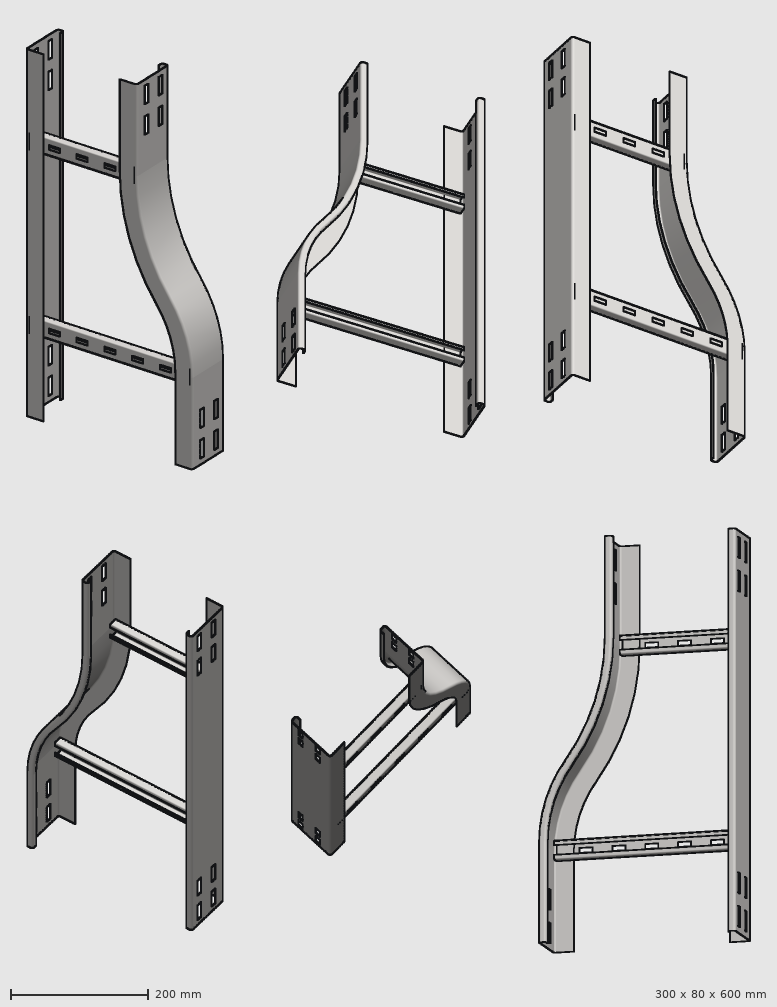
import cadquery as cq
import math

LENGTH = 600.0
RAIL_DEPTH = 80.0
WIDE_WIDTH = 300.0
NARROW_WIDTH = WIDE_WIDTH * 2 / 3

SHEET = 1.5
BEND_RADIUS = 4.0
INNER_BEND_RADIUS = BEND_RADIUS - SHEET
FLANGE_WIDTH = 31.0
RETURN_WIDTH = 12.0
LIP_DEPTH = 9.0

STRAIGHT_LENGTH = LENGTH / 4
BEND_LENGTH = LENGTH - 2 * STRAIGHT_LENGTH
LOWER_ARC_SHARE = 0.4

RAIL_SLOT_WIDTH = 9.0
RAIL_SLOT_LENGTH = 30.0
RAIL_SLOT_ROWS = 2
RAIL_SLOT_FIRST = LENGTH / 24
RAIL_SLOT_PITCH = LENGTH / 12
RAIL_SLOT_DEPTHS = (25.0, 60.0)

RUNG_HEIGHT = 29.0
RUNG_DEPTH = 15.0
RUNG_SHEET = 1.5
RUNG_LIP = 7.0
RUNG_BEND_RADIUS = 2.1
RUNG_END_GAP = 5.5
RUNG_SLOT_LENGTH = 20.0
RUNG_SLOT_HEIGHT = 7.0
RUNG_SLOT_PITCH = WIDE_WIDTH / 6


def rounded_outline(plane, corners):
    """Closed wire of square corners, each given as (x, y, corner radius)."""
    mid_share = 1 - math.sqrt(0.5)
    outline = cq.Workplane(plane)
    for index, (x, y, radius) in enumerate(corners):
        corner = cq.Vector(x, y)
        before = cq.Vector(*corners[index - 1][:2])
        after = cq.Vector(*corners[(index + 1) % len(corners)][:2])
        to_before = (before - corner).normalized() * radius
        to_after = (after - corner).normalized() * radius
        start = (corner + to_before).toTuple()[:2]
        if index == 0:
            outline = outline.moveTo(*start)
        else:
            outline = outline.lineTo(*start)
        if radius > 0:
            middle = corner + (to_before + to_after) * mid_share
            outline = outline.threePointArc(middle.toTuple()[:2], (corner + to_after).toTuple()[:2])
    return outline.close()


def rail_section(web_x, inward):
    """Rail section with its web's outer face at web_x; inward is +1 or -1 along X."""
    back = RAIL_DEPTH
    lip_tip = back - LIP_DEPTH
    corners = [
        (FLANGE_WIDTH, 0, 0),
        (FLANGE_WIDTH, SHEET, 0),
        (SHEET, SHEET, INNER_BEND_RADIUS),
        (SHEET, back - SHEET, INNER_BEND_RADIUS),
        (RETURN_WIDTH - SHEET, back - SHEET, INNER_BEND_RADIUS),
        (RETURN_WIDTH - SHEET, lip_tip, 0),
        (RETURN_WIDTH, lip_tip, 0),
        (RETURN_WIDTH, back, BEND_RADIUS),
        (0, back, BEND_RADIUS),
        (0, 0, BEND_RADIUS),
    ]
    return rounded_outline("XY", [(web_x + inward * x, y, radius) for x, y, radius in corners])


def cut_rail_slots(rail, low_web_x, high_web_x):
    """Cut the slots near the lower and upper ends of a rail web."""
    for row in range(RAIL_SLOT_ROWS):
        end_distance = RAIL_SLOT_FIRST + row * RAIL_SLOT_PITCH
        for web_x, z in ((low_web_x, end_distance), (high_web_x, LENGTH - end_distance)):
            for y in RAIL_SLOT_DEPTHS:
                slot = cq.Workplane("XY").box(2 * BEND_RADIUS, RAIL_SLOT_WIDTH, RAIL_SLOT_LENGTH)
                rail = rail.cut(slot.translate((web_x, y, z)))
    return rail


def make_straight_rail():
    rail = rail_section(0, 1).extrude(LENGTH)
    return cut_rail_slots(rail, 0, 0)


def make_curved_rail():
    offset = WIDE_WIDTH - NARROW_WIDTH
    angle = 2 * math.atan2(offset, BEND_LENGTH)
    lower_radius = LOWER_ARC_SHARE * BEND_LENGTH / math.sin(angle)
    upper_radius = (1 - LOWER_ARC_SHARE) * BEND_LENGTH / math.sin(angle)
    bend_start = STRAIGHT_LENGTH
    bend_end = LENGTH - STRAIGHT_LENGTH

    def lower_arc(turn):
        return (WIDE_WIDTH - lower_radius * (1 - math.cos(turn)), bend_start + lower_radius * math.sin(turn))

    def upper_arc(turn):
        return (NARROW_WIDTH + upper_radius * (1 - math.cos(turn)), bend_end - upper_radius * math.sin(turn))

    path = (
        cq.Workplane("XZ")
        .moveTo(WIDE_WIDTH, 0)
        .lineTo(WIDE_WIDTH, bend_start)
        .threePointArc(lower_arc(angle / 2), lower_arc(angle))
        .threePointArc(upper_arc(angle / 2), (NARROW_WIDTH, bend_end))
        .lineTo(NARROW_WIDTH, LENGTH)
    )
    rail = rail_section(WIDE_WIDTH, -1).sweep(path)
    return cut_rail_slots(rail, WIDE_WIDTH, NARROW_WIDTH)


def make_rung(ladder_width, center_z):
    """Slotted lipped channel spanning between the webs where the ladder has the given width."""
    half = RUNG_HEIGHT / 2
    front = SHEET
    back = front + RUNG_DEPTH
    lip_tip = half - RUNG_LIP
    inner_radius = RUNG_BEND_RADIUS - RUNG_SHEET
    corners = [
        (back, -half, RUNG_BEND_RADIUS),
        (back, -lip_tip, 0),
        (back - RUNG_SHEET, -lip_tip, 0),
        (back - RUNG_SHEET, -half + RUNG_SHEET, inner_radius),
        (front + RUNG_SHEET, -half + RUNG_SHEET, inner_radius),
        (front + RUNG_SHEET, half - RUNG_SHEET, inner_radius),
        (back - RUNG_SHEET, half - RUNG_SHEET, inner_radius),
        (back - RUNG_SHEET, lip_tip, 0),
        (back, lip_tip, 0),
        (back, half, RUNG_BEND_RADIUS),
        (front, half, RUNG_BEND_RADIUS),
        (front, -half, RUNG_BEND_RADIUS),
    ]
    rung = rounded_outline("YZ", corners).extrude(ladder_width - 2 * RUNG_END_GAP)
    rung = rung.translate((RUNG_END_GAP, 0, center_z))
    slot_count = round(ladder_width / RUNG_SLOT_PITCH) - 1
    for index in range(slot_count):
        slot = cq.Workplane("XY").box(RUNG_SLOT_LENGTH, RUNG_DEPTH, RUNG_SLOT_HEIGHT)
        rung = rung.cut(slot.translate(((index + 1) * RUNG_SLOT_PITCH, front, center_z)))
    return rung


straight_rail = make_straight_rail()
curved_rail = make_curved_rail()
rungs = [
    make_rung(width, z)
    for width, z in ((WIDE_WIDTH, STRAIGHT_LENGTH), (NARROW_WIDTH, LENGTH - STRAIGHT_LENGTH))
]

result = cq.Compound.makeCompound([straight_rail.val(), curved_rail.val(), *[rung.val() for rung in rungs]])